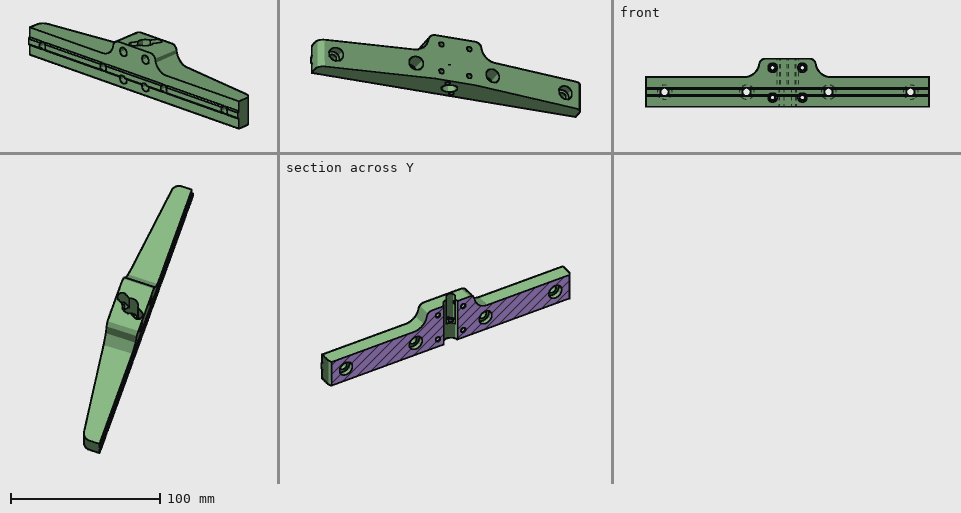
import cadquery as cq
import math

length = 190.0
bar_height = 20.0
depth = 21.93
taper_angle = 7.0
end_radius = 5.5

total_height = 32.4
boss_top_half_width = 14.6
crown_radius = 4.5
flank_foot_radius = 10.0

rail_projection = 1.0
rail_root_width = 5.8
rail_tip_width = rail_root_width - 2 * rail_projection
rail_gap = 3.8
rail_z = bar_height / 2

mount_pitch = 55.0
mount_positions = [step * mount_pitch for step in (-1.5, -0.5, 0.5, 1.5)]
mount_hole_diameter = 5.5
mount_bore_diameter = 9.75
mount_bore_floor = 7.0

screw_pitch = 20.0
screw_hole_diameter = 3.4
screw_bore_diameter = 6.1
screw_bore_depth = 10.0

shaft_diameter = 10.75
shaft_y = depth / 2
flange_screw_pitch = 16.5
flange_angle = 60.0
flange_recess_width = 6.1
flange_recess_depth = 20.0


def plan_body():
    """Full-height block with the tapered back and rounded rear end corners."""
    half = length / 2
    end_depth = depth - (half - boss_top_half_width) * math.tan(math.radians(taper_angle))
    outline = [
        (-half, 0),
        (half, 0),
        (half, end_depth),
        (boss_top_half_width, depth),
        (-boss_top_half_width, depth),
        (-half, end_depth),
    ]
    block = cq.Workplane("XY").polyline(outline).close().extrude(total_height)
    return block.edges("|Z").edges(">X or <X").edges(">Y").fillet(end_radius)


def front_profile():
    """Bar and boss silhouette; each flank is two tangent arcs, convex above concave."""
    half = length / 2
    rise = total_height - bar_height
    sweep = math.acos(1 - rise / (crown_radius + flank_foot_radius))
    foot_x = boss_top_half_width + (crown_radius + flank_foot_radius) * math.sin(sweep)

    def crown_point(angle):
        x = boss_top_half_width + crown_radius * math.sin(angle)
        return x, total_height - crown_radius * (1 - math.cos(angle))

    def foot_point(angle):
        x = foot_x - flank_foot_radius * math.sin(angle)
        return x, bar_height + flank_foot_radius * (1 - math.cos(angle))

    def mirrored(point):
        return -point[0], point[1]

    crown_middle = crown_point(sweep / 2)
    joint = crown_point(sweep)
    foot_middle = foot_point(sweep / 2)
    return (
        cq.Workplane("XZ")
        .moveTo(-half, 0)
        .lineTo(half, 0)
        .lineTo(half, bar_height)
        .lineTo(foot_x, bar_height)
        .threePointArc(foot_middle, joint)
        .threePointArc(crown_middle, (boss_top_half_width, total_height))
        .lineTo(-boss_top_half_width, total_height)
        .threePointArc(mirrored(crown_middle), mirrored(joint))
        .threePointArc(mirrored(foot_middle), (-foot_x, bar_height))
        .lineTo(-half, bar_height)
        .close()
        .extrude(-depth)
    )


def rail():
    """Trapezoidal rail along the front face, interrupted at the mounting holes."""
    outline = [
        (0, rail_z - rail_root_width / 2),
        (-rail_projection, rail_z - rail_tip_width / 2),
        (-rail_projection, rail_z + rail_tip_width / 2),
        (0, rail_z + rail_root_width / 2),
    ]
    bar = cq.Workplane("YZ").polyline(outline).close().extrude(length / 2, both=True)
    gaps = (
        cq.Workplane("XZ")
        .pushPoints([(x, rail_z) for x in mount_positions])
        .rect(rail_gap, rail_root_width)
        .extrude(rail_projection)
    )
    return bar.cut(gaps)


def cylinder_y(x, z, diameter, y_from, y_to):
    """Cylinder along Y between two Y positions."""
    plane = cq.Workplane("XZ", origin=(x, y_from, z))
    return plane.circle(diameter / 2).extrude(y_from - y_to)


def mount_holes():
    cutters = cq.Workplane("XY")
    for x in mount_positions:
        cutters = cutters.add(cylinder_y(x, rail_z, mount_hole_diameter, -rail_projection, depth))
        cutters = cutters.add(cylinder_y(x, rail_z, mount_bore_diameter, mount_bore_floor, depth))
    return cutters.combine()


def front_screw_holes():
    cutters = cq.Workplane("XY")
    for x in (-screw_pitch / 2, screw_pitch / 2):
        for z_offset in (-screw_pitch / 2, screw_pitch / 2):
            z = total_height / 2 + z_offset
            cutters = cutters.add(cylinder_y(x, z, screw_hole_diameter, 0, depth))
            cutters = cutters.add(cylinder_y(x, z, screw_bore_diameter, -rail_projection, screw_bore_depth))
    return cutters.combine()


def shaft_and_flange():
    """Shaft hole, its two flange screws and the slot-shaped recess from the top."""
    base = cq.Workplane("XY").center(0, shaft_y).transformed(rotate=(0, 0, flange_angle))
    half_pitch = flange_screw_pitch / 2
    shaft = base.circle(shaft_diameter / 2).extrude(total_height)
    screws = (
        base.pushPoints([(-half_pitch, 0), (half_pitch, 0)])
        .circle(screw_hole_diameter / 2)
        .extrude(total_height)
    )
    recess = (
        base.workplane(offset=total_height - flange_recess_depth)
        .slot2D(flange_screw_pitch + flange_recess_width, flange_recess_width)
        .extrude(flange_recess_depth)
    )
    return shaft.union(screws).union(recess)


result = plan_body().intersect(front_profile()).union(rail())
result = result.cut(mount_holes()).cut(front_screw_holes()).cut(shaft_and_flange())